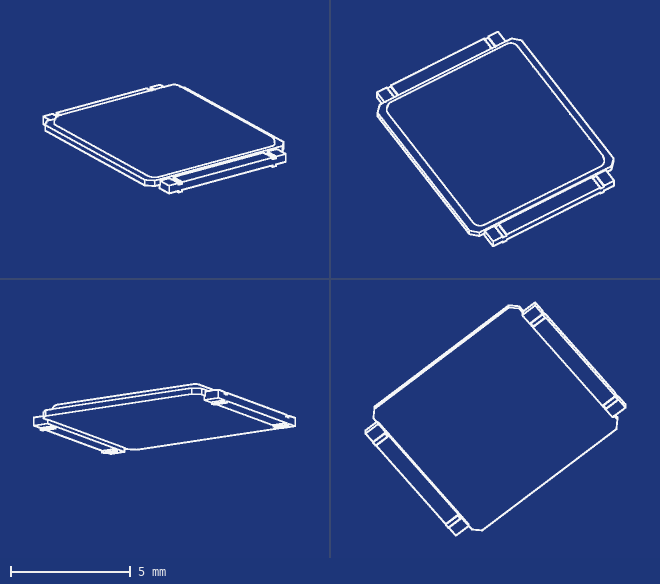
import cadquery as cq

total_length = 9.15
total_width = 7.1
total_height = 0.83

plate_length = 7.85
plate_bottom = 0.25
plate_top = 0.5
plate_chamfer = 0.3

lid_length = 7.39
lid_width = 6.4
lid_corner_radius = 0.35
lid_edge_radius = 0.265

terminal_width = 5.97
terminal_top = 0.43
terminal_overlap = 0.05

bend_width = 0.19
bend_spacing = 4.795
groove_depth = 0.08
ridge_height = 0.07


def block(length, width, bottom, top):
    """Box centred on X and Y, reaching from bottom to top in Z."""
    return (
        cq.Workplane("XY")
        .box(length, width, top - bottom, centered=(True, True, False))
        .translate((0, 0, bottom))
    )


def make_plate():
    plate = block(plate_length, total_width, plate_bottom, plate_top)
    return plate.edges("|Z").chamfer(plate_chamfer)


def make_lid():
    lid = block(lid_length, lid_width, plate_top, total_height)
    lid = lid.edges("|Z").fillet(lid_corner_radius)
    return lid.faces(">Z").edges().fillet(lid_edge_radius)


def make_terminal(side):
    """Terminal at the -X end (side = -1) or the +X end (side = 1)."""
    exposed_length = (total_length - plate_length) / 2
    exposed_center = side * (total_length - exposed_length) / 2
    body_length = exposed_length + terminal_overlap
    body_center = side * (total_length - body_length) / 2

    body = block(body_length, terminal_width, ridge_height, terminal_top)
    terminal = body.translate((body_center, 0, 0))

    groove = block(exposed_length, bend_width, terminal_top - groove_depth, terminal_top)
    ridge = block(exposed_length, bend_width, 0, ridge_height)
    for bend_y in (-bend_spacing / 2, bend_spacing / 2):
        bend_position = (exposed_center, bend_y, 0)
        terminal = terminal.cut(groove.translate(bend_position))
        terminal = terminal.union(ridge.translate(bend_position))
    return terminal


result = make_plate().union(make_lid())
for end in (-1, 1):
    result = result.union(make_terminal(end))